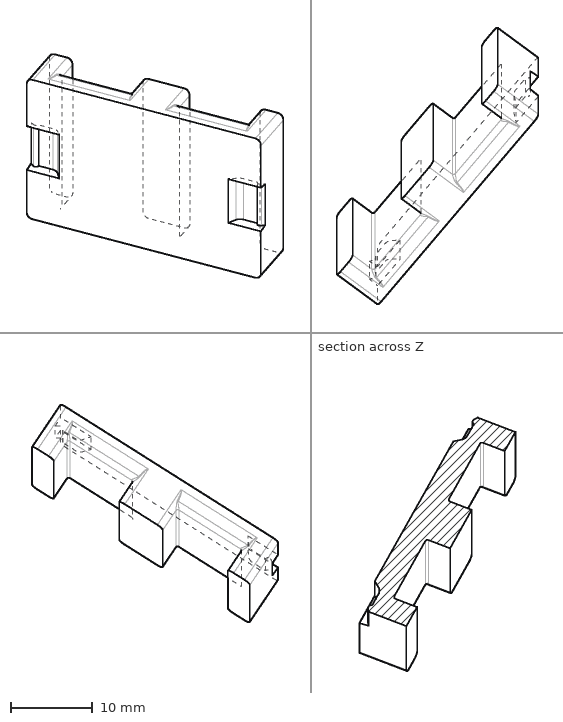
import math

import cadquery as cq

LENGTH = 31.75
THICKNESS = 6.35
HEIGHT = 20.35
EDGE_RADIUS = 0.794

PLATE_THICKNESS = 3.15
SIDE_WALL = 3.175
CENTER_WALL = 2 * SIDE_WALL
ROOT_RADIUS = 0.27

FLAT_END = 1.05
END_DRAFT = math.radians(5)

POCKET_LENGTH = 4.445
POCKET_HEIGHT = 6.375
POCKET_DEPTH = 1.2
POCKET_SIDE_DRAFT = math.radians(9)
POCKET_RAMP = math.radians(51)
POCKET_FLOOR_RADIUS = 1.0

CATCH_RADIUS = 0.42
CATCH_TOP_DEPTH = 0.87
CATCH_TOP_X = 0.67
CATCH_RAMP = math.radians(35)


def make_plate_quarter():
    """Upper left quarter of the base plate; its tapered end runs on to the front face, past the block."""
    top = HEIGHT / 2
    front_z = top + FLAT_END * math.tan(END_DRAFT)
    round_start_y = PLATE_THICKNESS - EDGE_RADIUS * (1 - math.sin(END_DRAFT))
    round_start_z = top - (round_start_y - FLAT_END) * math.tan(END_DRAFT)
    center_y = PLATE_THICKNESS - EDGE_RADIUS
    center_z = round_start_z - EDGE_RADIUS * math.cos(END_DRAFT)
    mid_angle = (math.pi / 2 - END_DRAFT) / 2
    mid_y = center_y + EDGE_RADIUS * math.cos(mid_angle)
    mid_z = center_z + EDGE_RADIUS * math.sin(mid_angle)
    return (
        cq.Workplane("YZ")
        .lineTo(0, front_z)
        .lineTo(round_start_y, round_start_z)
        .threePointArc((mid_y, mid_z), (PLATE_THICKNESS, center_z))
        .lineTo(PLATE_THICKNESS, 0)
        .close()
        .extrude(LENGTH / 2)
    )


def make_half_wall(start_x, width, channel_side):
    """Upper half of a wall, with its channel-side end edge rounded."""
    wall = cq.Workplane("XY").box(width, THICKNESS, HEIGHT / 2, centered=False)
    wall = wall.faces(channel_side).edges(">Z").fillet(EDGE_RADIUS)
    return wall.translate((start_x, 0, 0))


def make_holder_quarter():
    """Upper left quarter of plate and walls, with rounded channel roots."""
    center_wall_x = (LENGTH - CENTER_WALL) / 2
    quarter = (
        make_plate_quarter()
        .union(make_half_wall(0, SIDE_WALL, ">X"))
        .union(make_half_wall(center_wall_x, CENTER_WALL / 2, "<X"))
    )
    for wall_x in (SIDE_WALL, center_wall_x):
        root_point = (wall_x, PLATE_THICKNESS, HEIGHT / 4)
        root_edge = cq.selectors.NearestToPointSelector(root_point)
        quarter = quarter.edges(root_edge).fillet(ROOT_RADIUS)
    return quarter


def make_holder():
    """Whole body, mirrored from one quarter and trimmed to the rounded block outline."""
    quarter = make_holder_quarter()
    left_half = quarter.union(quarter.mirror("XY"))
    body = left_half.union(left_half.mirror("YZ", (LENGTH / 2, 0, 0)))
    block = cq.Workplane("XY").box(LENGTH, THICKNESS, HEIGHT, centered=(False, False, True))
    return body.intersect(block.edges("|Y").fillet(EDGE_RADIUS)).clean()


def make_pocket():
    """Cutting solid for the pocket at X = 0, with drafted ends, ramp and rounded catch."""
    floor_end_y = POCKET_DEPTH - POCKET_FLOOR_RADIUS * (1 - math.cos(POCKET_RAMP))
    ramp_end_x = POCKET_LENGTH - floor_end_y / math.tan(POCKET_RAMP)
    floor_end_x = ramp_end_x - POCKET_FLOOR_RADIUS * math.sin(POCKET_RAMP)
    floor_center_y = POCKET_DEPTH - POCKET_FLOOR_RADIUS
    ramp_mid_x = floor_end_x + POCKET_FLOOR_RADIUS * math.sin(POCKET_RAMP / 2)
    ramp_mid_y = floor_center_y + POCKET_FLOOR_RADIUS * math.cos(POCKET_RAMP / 2)

    catch_center_y = CATCH_TOP_DEPTH + CATCH_RADIUS
    catch_start_x = CATCH_TOP_X - CATCH_RADIUS * math.sin(CATCH_RAMP)
    catch_start_y = catch_center_y - CATCH_RADIUS * math.cos(CATCH_RAMP)
    catch_end_x = CATCH_TOP_X + math.sqrt(CATCH_RADIUS**2 - (catch_center_y - POCKET_DEPTH) ** 2)
    mouth_y = catch_start_y + catch_start_x * math.tan(CATCH_RAMP)

    profile = (
        cq.Workplane("XY")
        .moveTo(0, 0)
        .lineTo(POCKET_LENGTH, 0)
        .lineTo(ramp_end_x, floor_end_y)
        .threePointArc((ramp_mid_x, ramp_mid_y), (floor_end_x, POCKET_DEPTH))
        .lineTo(catch_end_x, POCKET_DEPTH)
        .threePointArc((CATCH_TOP_X, CATCH_TOP_DEPTH), (catch_start_x, catch_start_y))
        .lineTo(0, mouth_y)
        .close()
        .extrude(POCKET_HEIGHT / 2, both=True)
    )
    half_mouth = POCKET_HEIGHT / 2
    half_back = half_mouth - THICKNESS * math.tan(POCKET_SIDE_DRAFT)
    drafted_slab = (
        cq.Workplane("YZ")
        .moveTo(0, -half_mouth)
        .lineTo(0, half_mouth)
        .lineTo(THICKNESS, half_back)
        .lineTo(THICKNESS, -half_back)
        .close()
        .extrude(POCKET_LENGTH)
    )
    return profile.intersect(drafted_slab)


left_pocket = make_pocket()
right_pocket = left_pocket.mirror("YZ", (LENGTH / 2, 0, 0))
result = make_holder().cut(left_pocket).cut(right_pocket)